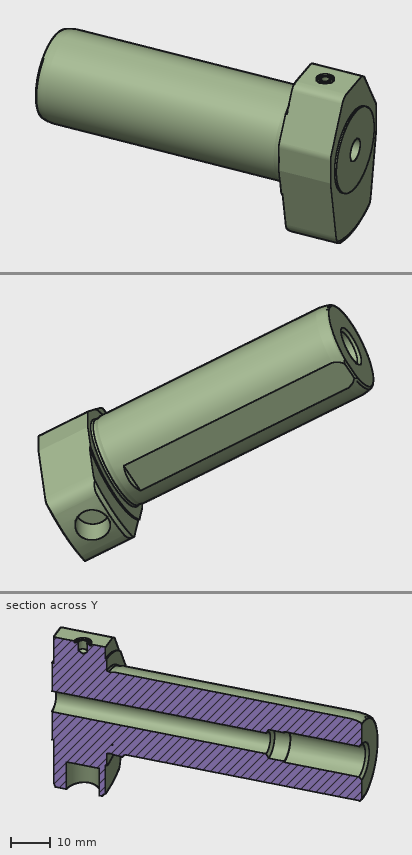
import cadquery as cq
import math

total_length = 85.0
nose_end = 1.6
taper_end = 3.15
neck_start = 67.75
neck_floor_start = 68.5
neck_floor_end = 69.3
collar_face = 69.9
flange_face = 70.2
flange_back = 84.5

shank_radius = 25.0 / 2
nose_radius = 24.6 / 2
neck_radius = 24.6 / 2
nose_edge_radius = 12.0
face_radius = 11.5
nose_edge_length = 0.5
nose_edge_arc = 1.0
flat_height = 11.7
flat_entry_height = 11.1
flat_run = 64.85

collar_radius = 16.1
pilot_radius = 23.0 / 2
half_width = 28.0 / 2
head_top = 19.5
top_half_width = 5.95
roof_angle = math.radians(60)
side_taper = math.radians(10.4)
waist_z = -2.1
sole_radius = 25.5
upper_fillet = 3.0
lower_fillet = 5.1
front_chamfer = 1.0
back_chamfer_length = 0.4
back_chamfer_height = 1.0
selection_margin = 0.85

through_radius = 6.0 / 2
bore_radius = 9.0 / 2
drill_radius = 8.4 / 2
mouth_radius = 10.5 / 2
mouth_depth = 0.8
bore_depth = 21.25
drill_depth = 25.5
drill_half_angle = math.radians(59)

screw_x = 76.5
screw_hole_radius = 4.6 / 2
screw_radius = 4.0 / 2
screw_tip_radius = 3.1 / 2
socket_radius = 2.3 / 2
screw_recess = 0.1
screw_gap_depth = 0.5
socket_depth = 2.55

sole_hole_radius = 9.0 / 2
sole_hole_depth = 8.2


def revolve_about_x(profile):
    return profile.close().revolve(360, (0, 0, 0), (1, 0, 0))


def make_shank():
    """Turned pin with rounded nose, relief neck and a bevelled flat along the underside."""
    profile = (
        cq.Workplane("XY")
        .lineTo(0, face_radius)
        .radiusArc((nose_edge_length, nose_edge_radius), nose_edge_arc)
        .lineTo(nose_end, nose_radius)
        .lineTo(taper_end, shank_radius)
        .lineTo(neck_start, shank_radius)
        .lineTo(neck_floor_start, neck_radius)
        .lineTo(neck_floor_end, neck_radius)
        .lineTo(collar_face, shank_radius)
        .lineTo(flange_back, shank_radius)
        .lineTo(flange_back, 0)
    )
    run_out = flat_run + shank_radius - flat_height
    flat = (
        cq.Workplane("XZ")
        .moveTo(0, -flat_entry_height)
        .lineTo(nose_edge_length, -flat_height)
        .lineTo(flat_run, -flat_height)
        .lineTo(run_out, -shank_radius)
        .lineTo(0, -shank_radius)
        .close()
        .extrude(shank_radius, both=True)
    )
    return revolve_about_x(profile).cut(flat)


def fillet_long_edges(head, low_z, high_z, radius):
    """Round the edges along X that lie between two heights."""
    low_corner = (0, -half_width - selection_margin, low_z - selection_margin)
    high_corner = (total_length, half_width + selection_margin, high_z + selection_margin)
    zone = cq.selectors.BoxSelector(low_corner, high_corner)
    return head.edges("|X").edges(zone).fillet(radius)


def head_prism():
    """Head outline in YZ, extruded from the collar face to the back."""
    shoulder_z = head_top - (half_width - top_half_width) * math.tan(roof_angle)
    slope = math.tan(side_taper)
    side_offset = half_width - slope * waist_z
    root = math.sqrt(sole_radius**2 * (1 + slope**2) - side_offset**2)
    corner_z = -(side_offset * slope + root) / (1 + slope**2)
    corner_y = side_offset + slope * corner_z
    head = (
        cq.Workplane("YZ", origin=(collar_face, 0, 0))
        .moveTo(-top_half_width, head_top)
        .lineTo(top_half_width, head_top)
        .lineTo(half_width, shoulder_z)
        .lineTo(half_width, waist_z)
        .lineTo(corner_y, corner_z)
        .threePointArc((0, -sole_radius), (-corner_y, corner_z))
        .lineTo(-half_width, waist_z)
        .lineTo(-half_width, shoulder_z)
        .close()
        .extrude(flange_back - collar_face)
    )
    head = fillet_long_edges(head, shoulder_z, head_top, upper_fillet)
    return fillet_long_edges(head, corner_z, corner_z, lower_fillet)


def make_head():
    """Head with a raised round collar and conical chamfers on the sole."""
    envelope = revolve_about_x(
        cq.Workplane("XY")
        .moveTo(collar_face, 0)
        .lineTo(collar_face, collar_radius)
        .lineTo(flange_face, collar_radius)
        .lineTo(flange_face, sole_radius - front_chamfer)
        .lineTo(flange_face + front_chamfer, sole_radius)
        .lineTo(flange_back - back_chamfer_length, sole_radius)
        .lineTo(flange_back, sole_radius - back_chamfer_height)
        .lineTo(flange_back, 0)
    )
    return head_prism().intersect(envelope)


def make_pilot():
    return cq.Workplane("YZ", origin=(flange_back, 0, 0)).circle(pilot_radius).extrude(
        total_length - flange_back
    )


def make_bore():
    """Countersunk stepped bore ending in a drill cone, with a smaller hole right through."""
    cone_length = (drill_radius - through_radius) / math.tan(drill_half_angle)
    return revolve_about_x(
        cq.Workplane("XY")
        .lineTo(0, mouth_radius)
        .lineTo(mouth_depth, bore_radius)
        .lineTo(bore_depth, bore_radius)
        .lineTo(bore_depth, drill_radius)
        .lineTo(drill_depth, drill_radius)
        .lineTo(drill_depth + cone_length, through_radius)
        .lineTo(total_length, through_radius)
        .lineTo(total_length, 0)
    )


def make_screw_hole():
    """Ring gap around a chamfered set screw, whose socket has a conical floor."""
    cone_length = socket_radius / math.tan(drill_half_angle)
    socket_floor = head_top - screw_recess - socket_depth
    return (
        cq.Workplane("XZ")
        .moveTo(screw_x, head_top)
        .lineTo(screw_x + screw_hole_radius, head_top)
        .lineTo(screw_x + screw_hole_radius, head_top - screw_gap_depth)
        .lineTo(screw_x + screw_radius, head_top - screw_gap_depth)
        .lineTo(screw_x + screw_tip_radius, head_top - screw_recess)
        .lineTo(screw_x + socket_radius, head_top - screw_recess)
        .lineTo(screw_x + socket_radius, socket_floor)
        .lineTo(screw_x, socket_floor - cone_length)
        .close()
        .revolve(360, (screw_x, 0, 0), (screw_x, 1, 0))
    )


def make_sole_hole():
    return (
        cq.Workplane("XY", origin=(screw_x, 0, -sole_radius))
        .circle(sole_hole_radius)
        .extrude(sole_hole_depth)
    )


body = make_shank().union(make_head()).union(make_pilot())
result = body.cut(make_bore()).cut(make_screw_hole()).cut(make_sole_hole())